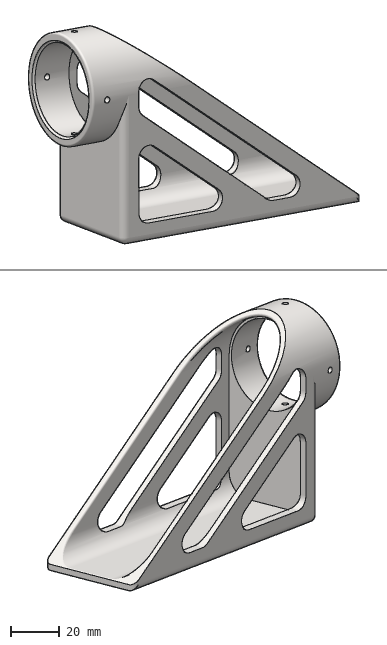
import cadquery as cq
import math

length = 135.0
height = 88.0
outer_radius = 24.0
wall = 3.0
edge_radius = 3.0

tube_overhang = 15.0
bore_radius = 19.8
mouth_rounding = 1.0
pin_diameter = 2.5
pin_y = 7.0

floor_thickness = 3.0
floor_fillet = 10.0
rim_fillet = 1.0

slope_start_y = 18.0
rear_height = 2.7

window_margin = 8.0
long_window_width = 15.0
rib_width = 8.0
window_corner_radius = 5.0

width = 2 * outer_radius
axis_z = height - outer_radius
cavity_start_y = tube_overhang + wall
slope = (height - rear_height) / (length - slope_start_y)
slope_angle = math.atan(slope)


def y_cylinder(radius, start_y, end_y):
    """Cylinder on the tube axis."""
    return (
        cq.Workplane("XZ", origin=(0, start_y, axis_z))
        .circle(radius)
        .extrude(start_y - end_y)
    )


def y_block(block_width, start_y, bottom_z):
    """Centred block from the given bottom up to the tube axis, ending at the rear."""
    return (
        cq.Workplane("XY")
        .box(block_width, length - start_y, axis_z - bottom_z, centered=(True, False, False))
        .translate((0, start_y, bottom_z))
    )


def outer_body():
    """Rounded box merged with the full-length tube."""
    box = y_block(width, tube_overhang, 0)
    box = box.edges("|Z or (|Y and <Z) or (|X and <Z and <Y)").fillet(edge_radius)
    tube = y_cylinder(outer_radius, 0, length).faces("<Y").edges().fillet(mouth_rounding)
    return box.union(tube)


def cavity():
    """Arched hollow with rounded floor corners, open at the rear."""
    radius = outer_radius - wall
    block = y_block(2 * radius, cavity_start_y, floor_thickness)
    block = block.edges("|Y and <Z").fillet(floor_fillet)
    return block.union(y_cylinder(radius, cavity_start_y, length))


def slope_cutter():
    """Everything above the sloping plane."""
    return (
        cq.Workplane("YZ")
        .moveTo(slope_start_y, height)
        .lineTo(length, rear_height)
        .lineTo(length, height)
        .close()
        .extrude(outer_radius, both=True)
    )


def slope_z(y, depth):
    """Height of the line lying the given distance below the sloping plane."""
    return height - slope * (y - slope_start_y) - depth / math.cos(slope_angle)


def slope_y(z, depth):
    """Y position where that line reaches the given height."""
    return slope_start_y + (height - depth / math.cos(slope_angle) - z) / slope


def window(points):
    """Round-cornered opening through both side walls."""
    return (
        cq.Workplane("YZ")
        .polyline(points)
        .close()
        .extrude(outer_radius, both=True)
        .edges("|X")
        .fillet(window_corner_radius)
    )


def windows():
    """Long slanted window above a triangular one."""
    front_y = tube_overhang + window_margin
    bottom_z = window_margin
    long_top = window_margin
    long_bottom = long_top + long_window_width
    triangle_top = long_bottom + rib_width
    long_window = window([
        (front_y, slope_z(front_y, long_top)),
        (slope_y(bottom_z, long_top), bottom_z),
        (slope_y(bottom_z, long_bottom), bottom_z),
        (front_y, slope_z(front_y, long_bottom)),
    ])
    triangle = window([
        (front_y, slope_z(front_y, triangle_top)),
        (slope_y(bottom_z, triangle_top), bottom_z),
        (front_y, bottom_z),
    ])
    return long_window.union(triangle)


def pin_holes():
    """Crossed holes through the tube near its mouth."""
    upright = cq.Workplane("XY").circle(pin_diameter / 2).extrude(outer_radius, both=True)
    level = upright.rotate((0, 0, 0), (0, 1, 0), 90)
    return upright.union(level).translate((0, pin_y, axis_z))


def bore():
    """Round bore through the front wall with a rounded mouth."""
    hole = y_cylinder(bore_radius, 0, cavity_start_y)
    mouth_radius = bore_radius + mouth_rounding
    flare = (
        cq.Workplane("XY")
        .lineTo(mouth_radius, 0)
        .radiusArc((bore_radius, mouth_rounding), -mouth_rounding)
        .lineTo(0, mouth_rounding)
        .close()
        .revolve(360, (0, 0, 0), (0, 1, 0))
        .translate((0, 0, axis_z))
    )
    return hole.union(flare)


def round_inner_rim(body):
    """Round the inside edge of the sloping rim; the fillet follows the whole tangent loop."""
    middle_y = (slope_start_y + length) / 2
    wall_edge_point = (outer_radius - wall, middle_y, slope_z(middle_y, 0))
    return body.edges(cq.selectors.NearestToPointSelector(wall_edge_point)).fillet(rim_fillet)


shell = outer_body().cut(cavity()).cut(slope_cutter())
shell = round_inner_rim(shell)
result = shell.cut(bore()).cut(windows()).cut(pin_holes())